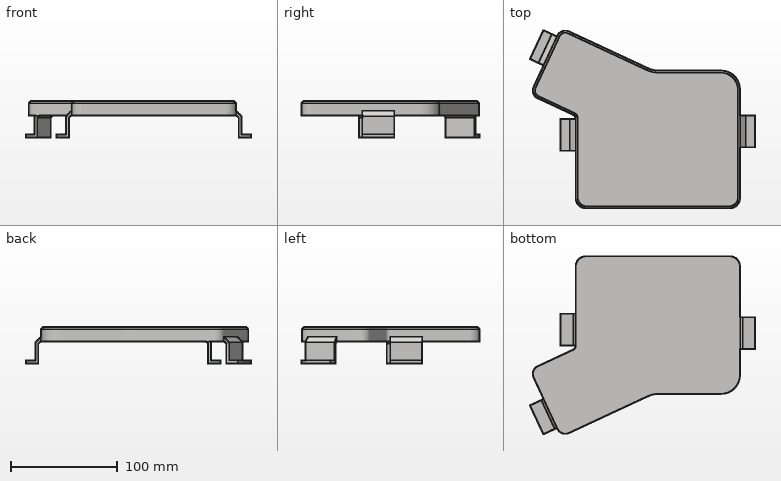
import cadquery as cq
import math

body_width = 154.0
body_depth = 129.2
plate_thickness = 14.0
top_chamfer = 2.1

arm_angle = 25.0
arm_length = 94.8
arm_width = 69.2
upper_neck_x = 72.5

front_corner_radius = 10.0
back_corner_radius = 18.0
arm_corner_radius = 8.0
upper_neck_radius = 25.0
lower_neck_radius = 4.0

bracket_width = 30.0
sheet_thickness = 3.0
slope_angle = 45.0
leg_offset = 5.3
foot_reach = 14.1
foot_depth = 20.5
bend_drop = 0.6

left_bracket_y = 68.8
right_bracket_y = 72.2
arm_bracket_inset = 24.0

cos_arm = math.cos(math.radians(arm_angle))
sin_arm = math.sin(math.radians(arm_angle))
tan_arm = sin_arm / cos_arm
outward = cq.Vector(-cos_arm, sin_arm)
across = cq.Vector(-sin_arm, -cos_arm)

front_left = cq.Vector(0, 0)
front_right = cq.Vector(body_width, 0)
back_right = cq.Vector(body_width, body_depth)
upper_neck = cq.Vector(upper_neck_x, body_depth)
arm_upper = upper_neck + outward * arm_length
arm_lower = arm_upper + across * arm_width
lower_neck = cq.Vector(0, arm_lower.y + arm_lower.x * tan_arm)


def make_plate():
    """Plate with rounded corners and a chamfered top rim."""
    rounded_corners = [
        (front_left, front_corner_radius),
        (front_right, front_corner_radius),
        (back_right, back_corner_radius),
        (upper_neck, upper_neck_radius),
        (arm_upper, arm_corner_radius),
        (arm_lower, arm_corner_radius),
        (lower_neck, lower_neck_radius),
    ]
    outline = [(corner.x, corner.y) for corner, _ in rounded_corners]
    plate = cq.Workplane("XY").polyline(outline).close().extrude(plate_thickness)
    for corner, radius in rounded_corners:
        upright_edge = cq.selectors.NearestToPointSelector((corner.x, corner.y, plate_thickness / 2))
        plate = plate.edges("|Z").edges(upright_edge).fillet(radius)
    return plate.faces(">Z").chamfer(top_chamfer)


def make_bracket(edge_point, direction):
    """Bracket centred on a point of the plate edge, reaching out at an angle from +X."""
    leg_inner = leg_offset - sheet_thickness
    inner_bend_z = -bend_drop - sheet_thickness * math.tan(math.radians(slope_angle / 2))
    slope_rise = math.tan(math.radians(slope_angle))
    profile = [
        (0, leg_offset * slope_rise - bend_drop),
        (leg_offset, -bend_drop),
        (leg_offset, sheet_thickness - foot_depth),
        (foot_reach, sheet_thickness - foot_depth),
        (foot_reach, -foot_depth),
        (leg_inner, -foot_depth),
        (leg_inner, inner_bend_z),
        (0, inner_bend_z + leg_inner * slope_rise),
    ]
    strip = cq.Workplane("XZ").polyline(profile).close().extrude(bracket_width / 2, both=True)
    return strip.rotate((0, 0, 0), (0, 0, 1), direction).translate(edge_point)


arm_bracket_point = arm_upper + across * arm_bracket_inset

result = (
    make_plate()
    .union(make_bracket(cq.Vector(body_width, right_bracket_y), 0))
    .union(make_bracket(cq.Vector(0, left_bracket_y), 180))
    .union(make_bracket(arm_bracket_point, 180 - arm_angle))
)